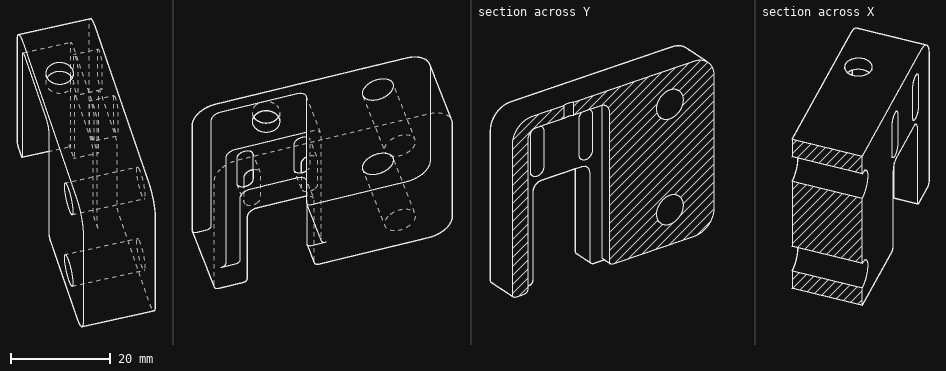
import cadquery as cq

length = 50
depth = 15
height = 40
corner_radius = 5

side_wall = 4
top_wall = 3
pocket_width = 20
web_thickness = 5
pocket_depth = depth - web_thickness
pocket_center_x = side_wall + pocket_width / 2
inner_radius = 2
foot_radius = 1

notch_width = 14
notch_height = 23
slot_width = 3.4
slot_travel = 8
slot_length = slot_travel + slot_width
slot_spacing = 12
slot_center_z = 30

mount_diameter = 6.5
mount_x = 39
mount_spacing = 24
top_hole_diameter = 5.5
top_hole_y = pocket_depth / 2

cut_margin = 0.5


def front_prism(sketch, extent):
    """Extrude an XZ sketch from the front face towards +Y."""
    return sketch.extrude(-extent)


def bottom_opening(width, opening_height, extent):
    """Opening with rounded upper corners and a flared mouth at the bottom edge."""
    half = width / 2
    mouth = half + foot_radius
    shoulder_z = opening_height - inner_radius
    crown = half - inner_radius
    outline = (
        cq.Workplane("XZ", origin=(pocket_center_x, 0, 0))
        .moveTo(-mouth, 0)
        .radiusArc((-half, foot_radius), -foot_radius)
        .lineTo(-half, shoulder_z)
        .radiusArc((-crown, opening_height), inner_radius)
        .lineTo(crown, opening_height)
        .radiusArc((half, shoulder_z), inner_radius)
        .lineTo(half, foot_radius)
        .radiusArc((mouth, 0), -foot_radius)
        .close()
    )
    return front_prism(outline, extent)


def rounded_block():
    block = cq.Workplane("XY").box(length, depth, height, centered=False)
    block = block.edges("|Y and (>X or >Z)").fillet(corner_radius)
    return block.edges("|Y and <X and <Z").fillet(foot_radius)


def web_slots():
    outline = (
        cq.Workplane("XZ", origin=(pocket_center_x, 0, slot_center_z))
        .rarray(slot_spacing, 0.5, 2, 1)
        .slot2D(slot_length, slot_width, 90)
    )
    return front_prism(outline, depth + cut_margin)


def mounting_holes():
    outline = (
        cq.Workplane("XZ", origin=(mount_x, 0, height / 2))
        .rarray(0.5, mount_spacing, 1, 2)
        .circle(mount_diameter / 2)
    )
    return front_prism(outline, depth + cut_margin)


def top_hole():
    """Vertical hole through the top wall into the pocket."""
    return (
        cq.Workplane("XY", origin=(pocket_center_x, top_hole_y, height + cut_margin))
        .circle(top_hole_diameter / 2)
        .extrude(-(top_wall + 2 * cut_margin))
    )


result = (
    rounded_block()
    .cut(bottom_opening(pocket_width, height - top_wall, pocket_depth))
    .cut(bottom_opening(notch_width, notch_height, depth + cut_margin))
    .cut(web_slots())
    .cut(mounting_holes())
    .cut(top_hole())
)